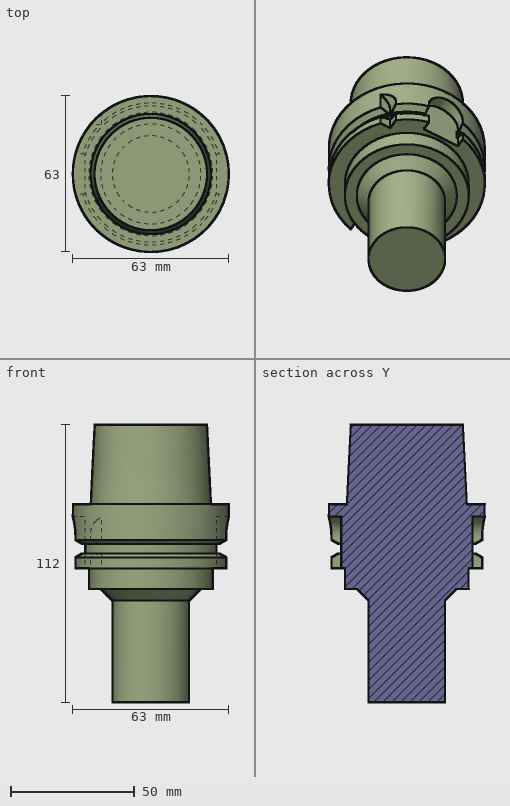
import cadquery as cq
import math


shank_length = 32.0
shank_base_radius = 24.3
taper_per_length = 1 / 20
shank_top_radius = shank_base_radius - taper_per_length * shank_length

flange_radius = 31.5
flange_height = 26.0
groove_mid_z = -18.0
groove_mouth_width = 7.0
groove_floor_width = 3.75
groove_floor_radius = 27.5
groove_flank_angle = 30.0
flank_height = (groove_mouth_width - groove_floor_width) / 2
flank_inner_radius = flange_radius - flank_height / math.tan(math.radians(groove_flank_angle))

collar_radius = 25.0
collar_bottom_z = -34.3
nose_radius = 15.5
cone_height = 4.7
cone_top_radius = nose_radius + cone_height
cone_bottom_z = collar_bottom_z - cone_height
nose_bottom_z = -80.0

slot_width = 16.0
slot_floor_x = 26.5
slot_arch_z = -13.1

notch_floor_x = -19.9
notch_wall_y = 19.9
notch_arch_radius = 8.0
notch_arch_z = -12.6

flange_bottom_z = -flange_height
cut_reach = flange_radius + 5.0


def turned_body():
    """Revolve the half profile of all round faces about Z."""
    mouth_top = groove_mid_z + groove_mouth_width / 2
    mouth_bottom = groove_mid_z - groove_mouth_width / 2
    floor_top = groove_mid_z + groove_floor_width / 2
    floor_bottom = groove_mid_z - groove_floor_width / 2
    profile = [
        (0, shank_length),
        (shank_top_radius, shank_length),
        (shank_base_radius, 0),
        (flange_radius, 0),
        (flange_radius, mouth_top),
        (flank_inner_radius, floor_top),
        (groove_floor_radius, floor_top),
        (groove_floor_radius, floor_bottom),
        (flank_inner_radius, floor_bottom),
        (flange_radius, mouth_bottom),
        (flange_radius, flange_bottom_z),
        (collar_radius, flange_bottom_z),
        (collar_radius, collar_bottom_z),
        (cone_top_radius, collar_bottom_z),
        (nose_radius, cone_bottom_z),
        (nose_radius, nose_bottom_z),
        (0, nose_bottom_z),
    ]
    return cq.Workplane("XZ").polyline(profile).close().revolve(360, (0, 0), (0, 1))


def arched_cutter(start_x, end_x, mid_y, arch_radius, arch_z):
    """Round-topped prism along X, open at the flange's lower face."""
    return (
        cq.Workplane("YZ", origin=(start_x, mid_y, 0))
        .moveTo(-arch_radius, flange_bottom_z)
        .lineTo(-arch_radius, arch_z)
        .threePointArc((0, arch_z + arch_radius), (arch_radius, arch_z))
        .lineTo(arch_radius, flange_bottom_z)
        .close()
        .extrude(end_x - start_x)
    )


def drive_slot(side):
    """Cutter for one drive slot; side is -1 or +1 along X."""
    return arched_cutter(side * slot_floor_x, side * cut_reach, 0, slot_width / 2, slot_arch_z)


def orientation_notch():
    """Cutter for the notch: its floor faces -X and its straight wall faces +Y."""
    mid_y = notch_wall_y + notch_arch_radius
    return arched_cutter(notch_floor_x, -cut_reach, mid_y, notch_arch_radius, notch_arch_z)


result = turned_body().cut(orientation_notch())
for slot_side in (-1, 1):
    result = result.cut(drive_slot(slot_side))